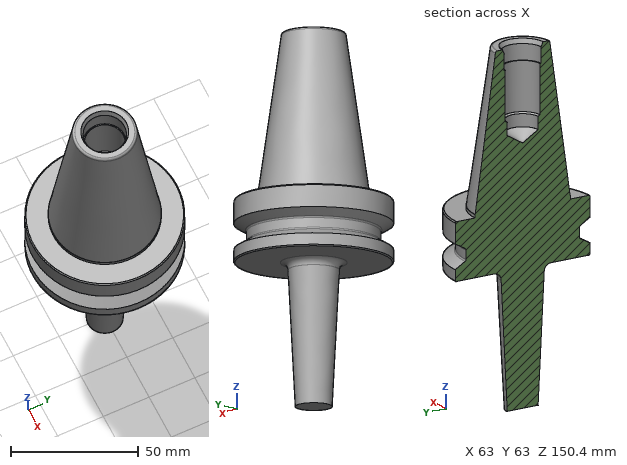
import math

import cadquery as cq


gauge_radius = 44.45 / 2
taper_length = 65.4
taper_slope = 7 / 24 / 2
taper_end_rounding = 1.0
gauge_to_flange = 2.0
collar_height = 1.4
collar_step = 0.1
collar_radius = gauge_radius + collar_step

flange_radius = 63.0 / 2
flange_height = 25.0
flange_chamfer = 0.5
groove_floor_radius = 53.0 / 2
groove_floor_height = 4.8
groove_corner_radius = 0.8
groove_centre_depth = 14.6
groove_wall_angle = math.radians(30)

nose_length = 58.0
nose_tip_radius = 14.6 / 2
nose_root_radius = 10.15
nose_fillet = 3.0

mouth_radius = 9.4
counterbore_radius = 8.5
counterbore_depth = 8.8
mouth_half_angle = math.radians(25)
thread_radius = 16.0 / 2
thread_depth = 30.0
core_radius = 7.1
core_depth = 36.0
drill_half_angle = math.radians(59)

flange_top = -gauge_to_flange
flange_bottom = flange_top - flange_height
nose_tip = flange_bottom - nose_length


def make_body():
    """Solid of revolution: taper, collar, grooved flange and nose."""
    collar_top = flange_top + collar_height
    end_radius = gauge_radius - taper_length * taper_slope
    groove_centre = flange_top - groove_centre_depth
    floor_half = groove_floor_height / 2
    mouth_half = floor_half + (flange_radius - groove_floor_radius) * math.tan(groove_wall_angle)
    rim_radius = flange_radius - flange_chamfer
    profile = (
        cq.Workplane("YZ")
        .moveTo(0, taper_length)
        .lineTo(end_radius, taper_length)
        .lineTo(gauge_radius, collar_top)
        .lineTo(collar_radius, collar_top)
        .lineTo(collar_radius, flange_top)
        .lineTo(rim_radius, flange_top)
        .lineTo(flange_radius, flange_top - flange_chamfer)
        .lineTo(flange_radius, groove_centre + mouth_half)
        .lineTo(groove_floor_radius, groove_centre + floor_half)
        .lineTo(groove_floor_radius, groove_centre - floor_half)
        .lineTo(flange_radius, groove_centre - mouth_half)
        .lineTo(flange_radius, flange_bottom + flange_chamfer)
        .lineTo(rim_radius, flange_bottom)
        .lineTo(nose_root_radius + nose_fillet, flange_bottom)
        .radiusArc((nose_root_radius, flange_bottom - nose_fillet), -nose_fillet)
        .lineTo(nose_tip_radius, nose_tip)
        .lineTo(0, nose_tip)
        .close()
    )
    body = profile.revolve()
    body = body.faces(">Z").edges().fillet(taper_end_rounding)
    groove_corners = cq.selectors.BoxSelector(
        (-flange_radius, -flange_radius, groove_centre - groove_floor_height),
        (flange_radius, flange_radius, groove_centre + groove_floor_height),
    )
    return body.edges("%CIRCLE").edges(groove_corners).fillet(groove_corner_radius)


def make_socket():
    """Blind hole in the taper end: flared mouth, counterbore, thread bore and drilled core."""
    mouth_depth = (mouth_radius - counterbore_radius) / math.tan(mouth_half_angle)
    counterbore_floor = taper_length - counterbore_depth
    thread_end = taper_length - thread_depth
    thread_step = (thread_radius - core_radius) / math.tan(drill_half_angle)
    core_end = taper_length - core_depth
    profile = (
        cq.Workplane("YZ")
        .moveTo(0, taper_length)
        .lineTo(mouth_radius, taper_length)
        .lineTo(counterbore_radius, taper_length - mouth_depth)
        .lineTo(counterbore_radius, counterbore_floor)
        .lineTo(thread_radius, counterbore_floor)
        .lineTo(thread_radius, thread_end)
        .lineTo(core_radius, thread_end - thread_step)
        .lineTo(core_radius, core_end)
        .lineTo(0, core_end - core_radius / math.tan(drill_half_angle))
        .close()
    )
    return profile.revolve()


result = make_body().cut(make_socket())